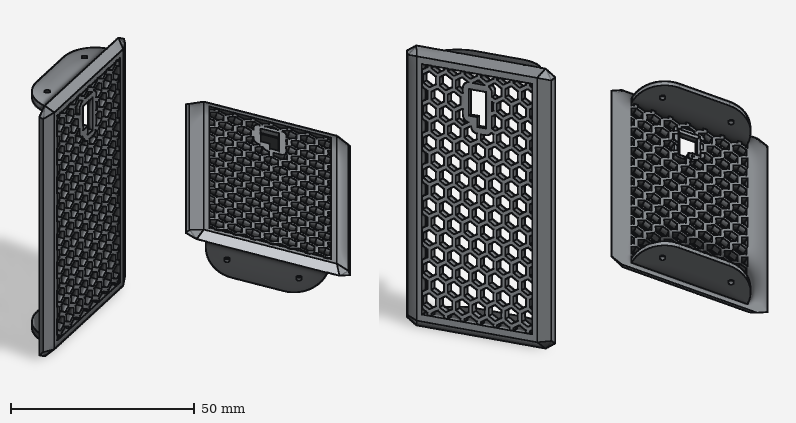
import cadquery as cq
import math

FOOTPRINT = 33.0
PANEL_WIDTH = FOOTPRINT * math.sqrt(2)
PANEL_HEIGHT = 80.5
PANEL_THICKNESS = 2.25
CORNER_CUT_WIDTH = 3.05
CORNER_CUT_HEIGHT = 2.0
SIDE_CHAMFER = 0.8
CHAMFER_END_INSET = 2.8
BACK_SIDE_INSET = 4.4
BACK_END_INSET = PANEL_THICKNESS

FLANGE_WIDTH = 34.6
FLANGE_REACH = 9.9
FLANGE_THICKNESS = 1.9
FLANGE_END_GAP = 2.3
SCREW_HOLE_DIAMETER = 1.5
SCREW_HOLE_SPACING = 20.4
SCREW_HOLE_REACH = FLANGE_REACH / 2

FLANGE_INNER_Z = PANEL_HEIGHT / 2 - FLANGE_END_GAP - FLANGE_THICKNESS
WINDOW_WIDTH = FLANGE_WIDTH
WINDOW_HEIGHT = 2 * FLANGE_INNER_Z
GRILLE_THICKNESS = 2.0
CELL_ACROSS_FLATS = 3.95
CELL_RADIUS = CELL_ACROSS_FLATS / math.sqrt(3)
COLUMN_PITCH = 5.15
ROW_PITCH = 2 * CELL_RADIUS
CELL_SHIFT = -0.4
ROWS_EACH_WAY = 8
COLUMNS_EACH_WAY = 4

MOUTH_HALF_WIDTH = 3.4
MOUTH_TOP = 31.9
MOUTH_BOTTOM = 19.95
NOTCH_SIDE = 0.8
NOTCH_TOP = 22.8
MOUTH_BEVEL = 0.7
SURROUND_MARGIN = 1.9
SURROUND_RECESS = 0.1

PANEL_PLANE = cq.Plane(origin=(0, 0, 0), xDir=(1, -1, 0), normal=(-1, -1, 0))


def on_panel(depth=0.0):
    """Workplane parallel to the front face, at a depth behind it."""
    return cq.Workplane(PANEL_PLANE).workplane(offset=-depth)


def flat_face(*points):
    """Planar face through points given in the panel frame."""
    corners = [PANEL_PLANE.toWorldCoords(point) for point in points]
    return cq.Face.makeFromWires(cq.Wire.makePolygon(corners, close=True))


def panel_blank():
    """Octagonal front face joined by sloped facets to a smaller rectangular back face."""
    half_width = PANEL_WIDTH / 2
    half_height = PANEL_HEIGHT / 2

    def side_point(side, end):
        return (side * half_width, end * (half_height - CORNER_CUT_HEIGHT), 0)

    def end_point(side, end):
        return (side * (half_width - CORNER_CUT_WIDTH), end * half_height, 0)

    def chamfer_point(side, end):
        x = side * (half_width - SIDE_CHAMFER)
        y = end * (half_height - CHAMFER_END_INSET)
        return (x, y, -SIDE_CHAMFER)

    def back_point(side, end):
        x = side * (half_width - BACK_SIDE_INSET)
        y = end * (half_height - BACK_END_INSET)
        return (x, y, -PANEL_THICKNESS)

    front = []
    for turn in (1, -1):
        front += [side_point(turn, turn), end_point(turn, turn)]
        front += [end_point(-turn, turn), side_point(-turn, turn)]
    faces = [flat_face(*front)]
    faces.append(flat_face(back_point(1, 1), back_point(-1, 1), back_point(-1, -1), back_point(1, -1)))
    for s in (1, -1):
        chamfer_edge = [chamfer_point(s, -1), chamfer_point(s, 1)]
        faces.append(flat_face(side_point(s, 1), side_point(s, -1), *chamfer_edge))
        faces.append(flat_face(back_point(s, 1), back_point(s, -1), *chamfer_edge))
        faces.append(flat_face(end_point(1, s), end_point(-1, s), back_point(-1, s), back_point(1, s)))
        for e in (1, -1):
            faces.append(flat_face(side_point(s, e), end_point(s, e), chamfer_point(s, e)))
            faces.append(flat_face(chamfer_point(s, e), end_point(s, e), back_point(s, e)))
    return cq.Workplane(cq.Solid.makeSolid(cq.Shell.makeShell(faces)))


def window(depth):
    return on_panel().rect(WINDOW_WIDTH, WINDOW_HEIGHT).extrude(-depth)


def cell_centres():
    """Staggered rows of cell centres covering the window."""
    centres = []
    for row in range(-ROWS_EACH_WAY, ROWS_EACH_WAY + 1):
        stagger = COLUMN_PITCH / 2 if row % 2 == 0 else 0
        for column in range(-COLUMNS_EACH_WAY, COLUMNS_EACH_WAY + 1):
            centres.append((CELL_SHIFT + stagger + column * COLUMN_PITCH, row * ROW_PITCH))
    return centres


def grille():
    """Window filling pierced by hexagonal cells with a corner pointing up."""
    angles = [math.radians(30 + 60 * corner) for corner in range(6)]
    hexagon = [(CELL_RADIUS * math.cos(angle), CELL_RADIUS * math.sin(angle)) for angle in angles]
    cells = on_panel()
    for x, y in cell_centres():
        cells = cells.polyline([(x + dx, y + dy) for dx, dy in hexagon]).close()
    return window(GRILLE_THICKNESS).cut(cells.extrude(-GRILLE_THICKNESS))


def opening_outline(depth, inset):
    """L outline of the opening, shrunk evenly from the mouth by the inset."""
    side = MOUTH_HALF_WIDTH - inset
    top = MOUTH_TOP - inset
    bottom = MOUTH_BOTTOM + inset
    notch_side = NOTCH_SIDE - inset
    notch_top = NOTCH_TOP + inset
    points = [(-side, bottom), (notch_side, bottom), (notch_side, notch_top),
              (side, notch_top), (side, top), (-side, top)]
    return on_panel(depth).polyline(points).close()


def opening_surround():
    outline = opening_outline(SURROUND_RECESS, MOUTH_BEVEL).offset2D(SURROUND_MARGIN, "arc")
    return outline.extrude(SURROUND_RECESS - GRILLE_THICKNESS)


def notch_block():
    """Flush filling below the notch ledge, closing the honeycomb cells there."""
    left = NOTCH_SIDE - MOUTH_BEVEL
    ledge = NOTCH_TOP + MOUTH_BEVEL
    block = on_panel().moveTo(left, ledge).lineTo(MOUTH_HALF_WIDTH, ledge)
    block = block.lineTo(MOUTH_HALF_WIDTH, ledge - SURROUND_MARGIN).lineTo(left, ledge - SURROUND_MARGIN)
    return block.close().extrude(-GRILLE_THICKNESS)


def opening():
    """Straight L hole with a 45 degree flare at the front."""
    hole = opening_outline(0, MOUTH_BEVEL).extrude(-GRILLE_THICKNESS)
    flare = opening_outline(0, 0).extrude(-MOUTH_BEVEL, taper=45)
    return hole.union(flare)


def flange(bottom_z):
    """Horizontal plate with rounded outer corners and two screw holes."""
    plane = cq.Plane(origin=(0, 0, bottom_z), xDir=(1, -1, 0), normal=(0, 0, 1))
    half_width = FLANGE_WIDTH / 2
    straight = half_width - FLANGE_REACH
    diagonal = FLANGE_REACH * math.sqrt(0.5)
    plate = (
        cq.Workplane(plane)
        .moveTo(half_width, 0)
        .threePointArc((straight + diagonal, -diagonal), (straight, -FLANGE_REACH))
        .lineTo(-straight, -FLANGE_REACH)
        .threePointArc((-straight - diagonal, -diagonal), (-half_width, 0))
        .close()
        .extrude(FLANGE_THICKNESS)
    )
    holes = (
        cq.Workplane(plane)
        .pushPoints([(side * SCREW_HOLE_SPACING / 2, -SCREW_HOLE_REACH) for side in (1, -1)])
        .circle(SCREW_HOLE_DIAMETER / 2)
        .extrude(FLANGE_THICKNESS)
    )
    return plate.cut(holes)


result = panel_blank().cut(window(PANEL_THICKNESS)).union(grille())
result = result.union(opening_surround()).union(notch_block()).cut(opening())
for flange_bottom in (FLANGE_INNER_Z, -FLANGE_INNER_Z - FLANGE_THICKNESS):
    result = result.union(flange(flange_bottom))